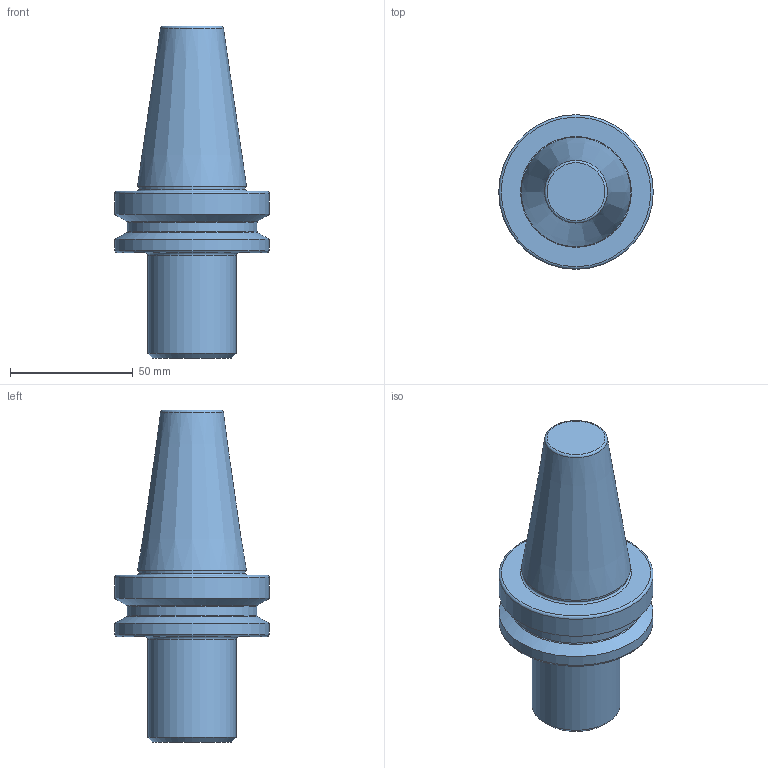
import cadquery as cq
import math


gauge_radius = 44.45 / 2
taper_length = 65.4
taper_slope = 7 / 48
tip_radius = gauge_radius - taper_length * taper_slope
tip_rounding = 1.0

neck_radius = 21.8
neck_fillet = 0.8

flange_radius = 63.0 / 2
flange_top = -2.0
flange_bottom = -27.0
flange_rounding = 1.0
groove_center = -16.55
groove_mouth_width = 10.15
groove_floor_fillet = 0.5
groove_radius = 53.0 / 2
groove_wall_angle = 30.0

nose_radius = 36.0 / 2
nose_bottom = -70.0
nose_fillet = 1.0
nose_chamfer = 2.0


def revolve_profile(profile):
    """Turn a closed (radius, Z) profile fully around the Z axis."""
    return profile.close().revolve(360, (0, 0, 0), (0, 1, 0))


def circle_edges(body, radius, z):
    """Select the circular edges of a given radius at a given height."""
    tolerance = 0.01

    def box_of_reach(reach):
        return cq.selectors.BoxSelector(
            (-reach, -reach, z - tolerance),
            (reach, reach, z + tolerance),
            boundingbox=True,
        )

    return body.edges(box_of_reach(radius + tolerance) - box_of_reach(radius - tolerance))


def make_blank():
    """Taper, neck, flange and nose with sharp corners."""
    profile = (
        cq.Workplane("XZ")
        .moveTo(0, taper_length)
        .lineTo(tip_radius, taper_length)
        .lineTo(gauge_radius, 0)
        .lineTo(neck_radius, 0)
        .lineTo(neck_radius, flange_top)
        .lineTo(flange_radius, flange_top)
        .lineTo(flange_radius, flange_bottom)
        .lineTo(nose_radius, flange_bottom)
        .lineTo(nose_radius, nose_bottom)
        .lineTo(0, nose_bottom)
    )
    return revolve_profile(profile)


def finish_corners(body):
    """Round the tip, flange rims and inner corners, and chamfer the nose."""
    body = circle_edges(body, tip_radius, taper_length).fillet(tip_rounding)
    body = circle_edges(body, neck_radius, flange_top).fillet(neck_fillet)
    body = circle_edges(body, flange_radius, flange_top).fillet(flange_rounding)
    body = circle_edges(body, flange_radius, flange_bottom).fillet(flange_rounding)
    body = circle_edges(body, nose_radius, flange_bottom).fillet(nose_fillet)
    return circle_edges(body, nose_radius, nose_bottom).chamfer(nose_chamfer)


def cut_groove(body):
    """Cut the flange's V groove, with a flat floor and rounded floor corners."""
    wall_rise = (flange_radius - groove_radius) * math.tan(math.radians(groove_wall_angle))
    half_mouth = groove_mouth_width / 2
    half_floor = half_mouth - wall_rise
    profile = (
        cq.Workplane("XZ")
        .moveTo(flange_radius, groove_center + half_mouth)
        .lineTo(groove_radius, groove_center + half_floor)
        .lineTo(groove_radius, groove_center - half_floor)
        .lineTo(flange_radius, groove_center - half_mouth)
    )
    body = body.cut(revolve_profile(profile))
    for floor_edge_z in (groove_center + half_floor, groove_center - half_floor):
        body = circle_edges(body, groove_radius, floor_edge_z).fillet(groove_floor_fillet)
    return body


result = cut_groove(finish_corners(make_blank()))